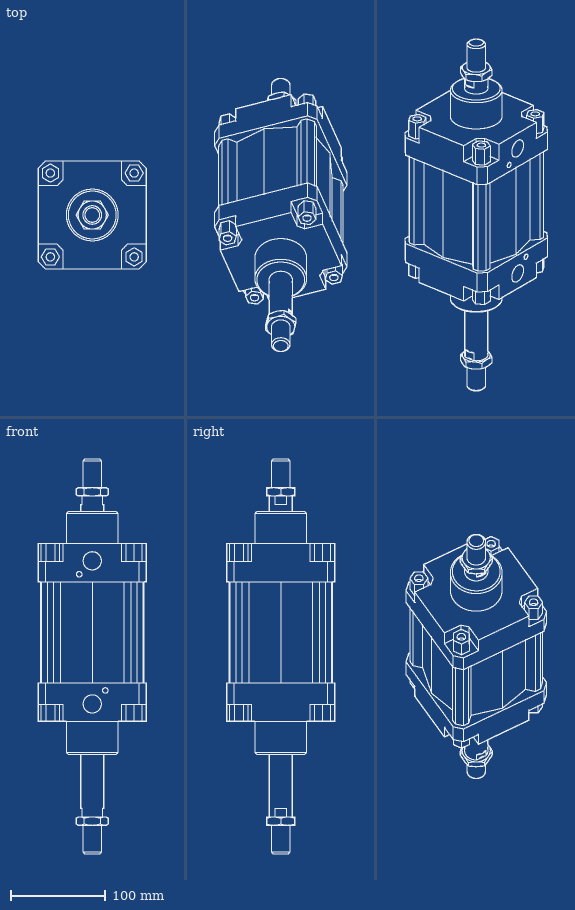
import cadquery as cq
import math


rod_length = 420.0
rod_diameter = 24.8
thread_diameter = 19.7
thread_length = 39.5
rod_end_chamfer = 2.0
flats_width = 22.0
flats_length = 9.2

nut_width = 30.0
nut_height = 9.0
nut_chamfer_angle = 30.0

head_width = 115.0
head_height = 40.7
head_corner_chamfer = 8.0
upper_head_top = 120.0
lower_head_bottom = -69.0
pocket_edge = 31.0
pocket_inner_chamfer = 6.5
upper_pocket_depth = 19.5
lower_pocket_depth = 17.5

collar_diameter = 55.0
upper_collar_height = 34.0
lower_collar_height = 35.3
collar_chamfer = 2.0

bolt_offset = 44.5
bolt_width = 17.0
bolt_hole_diameter = 9.0
bolt_hole_depth = 8.5
drill_tip_angle = 118.0

boss_face = 53.8
boss_outer_edge = 47.5
boss_inner_edge = 41.0
boss_root = 33.5
ridge_height = 55.0

port_diameter = 19.5
port_depth = 17.0
port_from_face = 18.5
screw_hole_diameter = 6.0
screw_hole_depth = 4.0
screw_hole_offset = 14.0
screw_hole_from_face = 32.8

upper_head_bottom = upper_head_top - head_height
lower_head_top = lower_head_bottom + head_height
shoulder_height = rod_length / 2 - thread_length


def hexagon(across_flats, height, turn=0.0):
    """Hexagonal prism standing on z = 0, with two corners on X when turn is 0."""
    across_corners = across_flats / math.cos(math.radians(30))
    prism = cq.Workplane("XY").polygon(6, across_corners).extrude(height)
    return prism.rotate((0, 0, 0), (0, 0, 1), turn)


def make_barrel():
    """Barrel between the heads; one side's outline is repeated on all four sides."""
    root_face = boss_face - (boss_inner_edge - boss_root)
    side = [
        (boss_face, -boss_outer_edge),
        (boss_face, -boss_inner_edge),
        (root_face, -boss_root),
        (ridge_height, 0),
        (root_face, boss_root),
        (boss_face, boss_inner_edge),
        (boss_face, boss_outer_edge),
    ]
    outline = []
    for _ in range(4):
        outline += side
        side = [(-y, x) for x, y in side]
    height = upper_head_bottom - lower_head_top
    return cq.Workplane("XY", origin=(0, 0, lower_head_top)).polyline(outline).close().extrude(height)


def make_bolt(height, turn):
    """Hexagonal bolt end whose top has a drilled hole with a conical bottom."""
    radius = bolt_hole_diameter / 2
    tip_length = radius / math.tan(math.radians(drill_tip_angle / 2))
    hole_floor = height - bolt_hole_depth
    hole = (
        cq.Workplane("XZ")
        .polyline([(0, hole_floor - tip_length), (radius, hole_floor), (radius, height), (0, height)])
        .close()
        .revolve(360, (0, 0, 0), (0, 1, 0))
    )
    return hexagon(bolt_width, height, turn).cut(hole)


def make_head(pocket_depth, collar_height):
    """Head standing on z = 0, its collar, corner pockets and bolts facing +Z."""
    head = (
        cq.Workplane("XY")
        .rect(head_width, head_width)
        .extrude(head_height)
        .edges("|Z")
        .chamfer(head_corner_chamfer)
    )
    pocket_size = head_width / 2 - pocket_edge
    pocket_centre = pocket_edge + pocket_size / 2
    pocket_floor = head_height - pocket_depth
    for x_side in (-1, 1):
        for y_side in (-1, 1):
            inner_edge = "<X" if x_side > 0 else ">X"
            inner_edge += " and " + ("<Y" if y_side > 0 else ">Y")
            pocket = (
                cq.Workplane("XY", origin=(x_side * pocket_centre, y_side * pocket_centre, pocket_floor))
                .rect(pocket_size, pocket_size)
                .extrude(pocket_depth)
                .edges(inner_edge)
                .chamfer(pocket_inner_chamfer)
            )
            turn = 0 if x_side == y_side else 90
            bolt = make_bolt(pocket_depth, turn)
            bolt = bolt.translate((x_side * bolt_offset, y_side * bolt_offset, pocket_floor))
            head = head.cut(pocket).union(bolt)
    collar = (
        cq.Workplane("XY", origin=(0, 0, head_height))
        .circle(collar_diameter / 2)
        .extrude(collar_height)
        .faces(">Z")
        .chamfer(collar_chamfer)
    )
    return head.union(collar)


def side_hole(diameter, depth, x, z):
    """Flat-bottomed hole drilled into the -Y side of a head."""
    return (
        cq.Workplane("XZ", origin=(x, -head_width / 2, z))
        .circle(diameter / 2)
        .extrude(-depth)
    )


def make_housing():
    """Barrel with both heads, bored through for the rod."""
    upper_head = make_head(upper_pocket_depth, upper_collar_height).translate((0, 0, upper_head_bottom))
    lower_head = make_head(lower_pocket_depth, lower_collar_height).mirror("XY")
    lower_head = lower_head.translate((0, 0, lower_head_top))
    housing = make_barrel().union(upper_head).union(lower_head)

    for outer_face, outward in ((upper_head_top, 1), (lower_head_bottom, -1)):
        port_height = outer_face - outward * port_from_face
        screw_height = outer_face - outward * screw_hole_from_face
        housing = housing.cut(side_hole(port_diameter, port_depth, 0, port_height))
        housing = housing.cut(
            side_hole(screw_hole_diameter, screw_hole_depth, -outward * screw_hole_offset, screw_height)
        )

    bore = cq.Workplane("XY").circle(rod_diameter / 2).extrude(rod_length / 2, both=True)
    return housing.cut(bore)


def make_rod():
    """Rod threaded at both ends, with wrench flats on the X sides next to each thread."""
    rod = cq.Workplane("XY").circle(rod_diameter / 2).extrude(shoulder_height, both=True)
    flats_centre = shoulder_height - flats_length / 2
    cut_depth = (rod_diameter - flats_width) / 2
    cut_centre = (flats_width + cut_depth) / 2
    for end in (-1, 1):
        for side in (-1, 1):
            flat = cq.Workplane("XY").box(cut_depth, rod_diameter, flats_length)
            rod = rod.cut(flat.translate((side * cut_centre, 0, end * flats_centre)))
    thread = (
        cq.Workplane("XY")
        .circle(thread_diameter / 2)
        .extrude(rod_length / 2, both=True)
        .faces("<Z or >Z")
        .chamfer(rod_end_chamfer)
    )
    return rod.union(thread)


def make_nut(bottom):
    """Hexagonal nut whose corners are chamfered on both faces."""
    corner_radius = nut_width / 2 / math.cos(math.radians(30))
    rim_radius = nut_width / 2
    drop = (corner_radius - rim_radius) * math.tan(math.radians(nut_chamfer_angle))
    envelope = (
        cq.Workplane("XZ")
        .polyline([
            (0, 0),
            (rim_radius, 0),
            (corner_radius, drop),
            (corner_radius, nut_height - drop),
            (rim_radius, nut_height),
            (0, nut_height),
        ])
        .close()
        .revolve(360, (0, 0, 0), (0, 1, 0))
    )
    bore = cq.Workplane("XY").circle(thread_diameter / 2).extrude(nut_height)
    nut = hexagon(nut_width, nut_height).intersect(envelope).cut(bore)
    return nut.translate((0, 0, bottom))


housing = make_housing()
rod = make_rod()
nuts = [make_nut(bottom) for bottom in (shoulder_height, -shoulder_height - nut_height)]

result = cq.Compound.makeCompound([housing.val(), rod.val(), *[nut.val() for nut in nuts]])